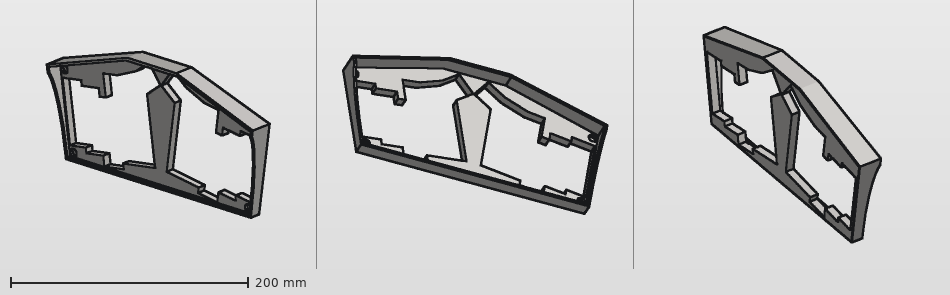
import cadquery as cq
import math

width = 233.15
height = 113.53
max_depth = 22.0
side_tilt = math.radians(8)
left_shoulder_height = 85.45
right_shoulder_height = 84.75
rim_shoulder_height = 85.1
ridge_left = -27.2
ridge_right = 28.1
wall = 2.2
ridge_wall = 2.7
back_chamfer = 0.5

ridge_depth = 19.9
bottom_depth = 11.2
sweep_depth_radius = 14.75
sweep_height_radius = 75.0
sweep_bottom = 6.1
sweep_steps = 8

plate_thickness = 8.0
hole_diameter = 7.2
hole_depth = 3.0
hole_row_position = -97.0
upper_hole_line = 93.4
lower_hole_line = 20.0

field_left = -100.1
column_1_end = -79.05
column_2_end = -59.65
column_3_end = -40.9
column_2_start = -82.05
column_3_start = -62.8
pillar_end = -52.55
field_right = -4.35
column_1_lines = (26.1, 85.65)
column_2_lines = (21.1, 80.8)
column_3_bottom = 11.5
column_4_bottom = 16.6
pillar_bottom = 73.3
fan_start_line = 94.65

fan_turn = math.radians(15)
fan_lengths = (15.9, 22.8, 19.1)
neck_half_width = 0.5
neck_height = 92.1

overshoot = 1.0


def from_field(row, line):
    """Turn tilted key-field axes into X and Z."""
    cos_tilt = math.cos(side_tilt)
    sin_tilt = math.sin(side_tilt)
    return (row * cos_tilt - line * sin_tilt, row * sin_tilt + line * cos_tilt)


def to_field(x, z):
    """Turn X and Z into tilted key-field axes."""
    cos_tilt = math.cos(side_tilt)
    sin_tilt = math.sin(side_tilt)
    return (x * cos_tilt + z * sin_tilt, z * cos_tilt - x * sin_tilt)


def prism(points, front, back):
    """Extrude an XZ outline between two depths measured forward from the back."""
    plane = cq.Workplane("XZ", origin=(0, -back, 0))
    return plane.polyline(points).close().extrude(front - back)


def case_outline():
    """Outer outline; the left and right shoulders differ slightly in height."""
    half_top = width / 2
    half_bottom = half_top - rim_shoulder_height * math.tan(side_tilt)
    return [
        (-half_bottom, 0),
        (half_bottom, 0),
        (half_top, right_shoulder_height),
        (ridge_right, height),
        (ridge_left, height),
        (-half_top, left_shoulder_height),
    ]


def make_shell():
    """Solid case with a pocket in front of the plate, leaving the wall all round."""
    body = prism(case_outline(), max_depth, 0).faces(">Y").chamfer(back_chamfer)
    pocket = (
        cq.Workplane("XZ", origin=(0, -plate_thickness, 0))
        .polyline(case_outline())
        .close()
        .offset2D(-wall, "intersection")
        .extrude(max_depth)
    )
    below_ridge = cq.Workplane("XY").box(
        width, 4 * max_depth, height - ridge_wall, centered=(True, True, False)
    )
    return body.cut(pocket.intersect(below_ridge))


def on_sweep(depth):
    """Y and Z of the point on the elliptical sweep at a given depth."""
    reach = (bottom_depth + sweep_depth_radius - depth) / sweep_depth_radius
    return (-depth, sweep_bottom + sweep_height_radius * math.sqrt(1 - reach**2))


def make_front_cut():
    """Everything in front of the rim, as a YZ profile run across the full width."""
    span = max_depth - bottom_depth
    sweep_points = [
        on_sweep(bottom_depth + span * (1 - step / sweep_steps) ** 2)
        for step in range(1, sweep_steps + 1)
    ]
    front = -max_depth - overshoot
    return (
        cq.Workplane("YZ", origin=(-width / 2 - overshoot, 0, 0))
        .moveTo(-ridge_depth, height)
        .lineTo(-max_depth, rim_shoulder_height)
        .lineTo(*on_sweep(max_depth))
        .spline(sweep_points, includeCurrent=True)
        .lineTo(-bottom_depth, -overshoot)
        .lineTo(front, -overshoot)
        .lineTo(front, height + overshoot)
        .lineTo(-ridge_depth, height + overshoot)
        .close()
        .extrude(width + 2 * overshoot)
    )


def key_field():
    """Left key-field outline, clockwise from the upper left corner."""
    points = [
        from_field(field_left, column_1_lines[1]),
        from_field(column_1_end, column_1_lines[1]),
        from_field(column_1_end, column_2_lines[1]),
        from_field(column_2_end, column_2_lines[1]),
        from_field(column_2_end, pillar_bottom),
        from_field(pillar_end, pillar_bottom),
        from_field(pillar_end, fan_start_line),
    ]
    for turn, length in enumerate(fan_lengths):
        x, z = points[-1]
        angle = side_tilt + turn * fan_turn
        points.append((x + length * math.cos(angle), z + length * math.sin(angle)))
    points.append((-neck_half_width, neck_height))

    neck_row, neck_line = to_field(-neck_half_width, neck_height)
    thumb_drop = (neck_row - field_right) * math.tan(angle - side_tilt)
    points += [
        from_field(field_right, neck_line - thumb_drop),
        from_field(field_right, column_4_bottom),
        from_field(column_3_end, column_4_bottom),
        from_field(column_3_end, column_3_bottom),
        from_field(column_3_start, column_3_bottom),
        from_field(column_3_start, column_2_lines[0]),
        from_field(column_2_start, column_2_lines[0]),
        from_field(column_2_start, column_1_lines[0]),
        from_field(field_left, column_1_lines[0]),
    ]
    return points


def screw_holes():
    """Blind holes sunk into the front of the plate at the two left corners."""
    centres = [from_field(hole_row_position, line) for line in (upper_hole_line, lower_hole_line)]
    return (
        cq.Workplane("XZ", origin=(0, hole_depth - plate_thickness, 0))
        .pushPoints(centres)
        .circle(hole_diameter / 2)
        .extrude(hole_depth)
    )


left_openings = prism(key_field(), plate_thickness + overshoot, -overshoot).union(screw_holes())
right_openings = left_openings.mirror("YZ")
result = make_shell().cut(make_front_cut()).cut(left_openings).cut(right_openings)